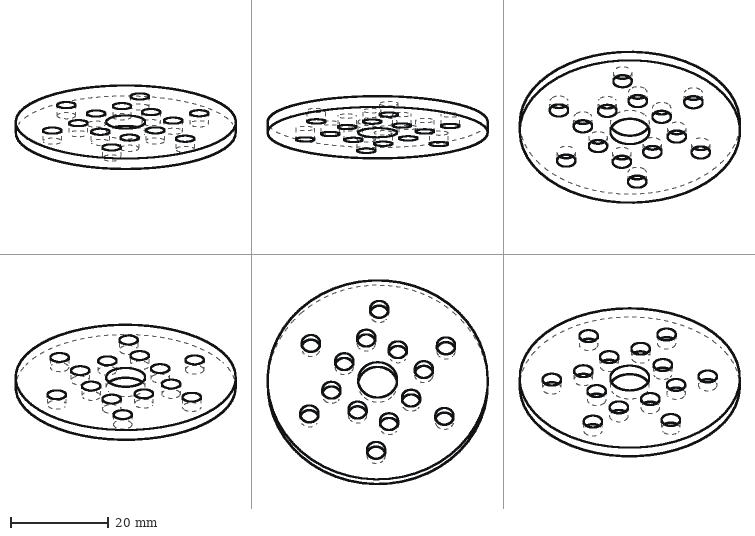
import cadquery as cq

disc_diameter = 45.25
thickness = 2.3

bore_diameter = 8.0
small_hole_diameter = 3.8

axis_ring_radius = 8.0
diagonal_ring_radius = 9.77
outer_ring_radius = 16.0


def drill_ring(body, radius, first_angle, count):
    """Drill evenly spaced small through holes around the disc centre."""
    return (
        body.faces(">Z")
        .workplane(origin=(0, 0, 0))
        .polarArray(radius, first_angle, 360, count)
        .hole(small_hole_diameter)
    )


disc = cq.Workplane("XY").circle(disc_diameter / 2).extrude(thickness)
disc = disc.faces(">Z").workplane(origin=(0, 0, 0)).hole(bore_diameter)

disc = drill_ring(disc, axis_ring_radius, 0, 4)
disc = drill_ring(disc, diagonal_ring_radius, 45, 4)
disc = drill_ring(disc, outer_ring_radius, 0, 6)

result = disc